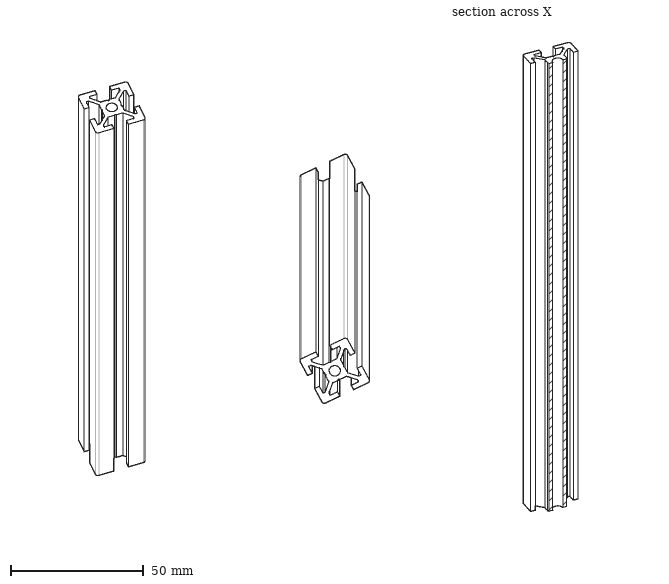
import cadquery as cq

side = 20.0
length = 200.0
corner_radius = 1.0

slot_opening = 5.8
lip_thickness = 2.0
cavity_width = 12.0
web_thickness = 1.5

core_width = 8.0
bore_diameter = 4.2
groove_width = 1.0
groove_depth = 0.3

half_side = side / 2
half_opening = slot_opening / 2
half_cavity = cavity_width / 2
half_core = core_width / 2
lip_inner_face = half_side - lip_thickness
web_offset = web_thickness / 2**0.5


def make_bar():
    """Solid square bar with rounded long edges."""
    bar = cq.Workplane("XY").rect(side, side).extrude(length)
    return bar.edges("|Z").fillet(corner_radius)


def make_slot():
    """T-slot on the +Y side, with a V groove along the middle of its floor."""
    right_half = [
        (groove_width / 2, half_core),
        (half_core - web_offset, half_core),
        (half_cavity, half_cavity + web_offset),
        (half_cavity, lip_inner_face),
        (half_opening, lip_inner_face),
        (half_opening, half_side),
    ]
    left_half = [(-x, y) for x, y in reversed(right_half)]
    groove_bottom = (0, half_core - groove_depth)
    outline = [groove_bottom] + right_half + left_half
    return cq.Workplane("XY").polyline(outline).close().extrude(length)


result = make_bar()

slot = make_slot()
for quarter_turn in range(4):
    result = result.cut(slot.rotate((0, 0, 0), (0, 0, 1), 90 * quarter_turn))

bore = cq.Workplane("XY").circle(bore_diameter / 2).extrude(length)
result = result.cut(bore)